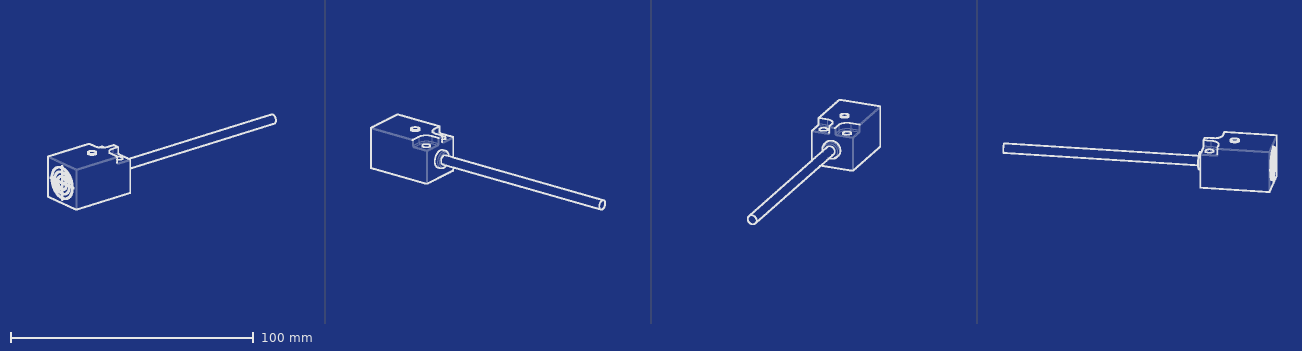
import cadquery as cq

housing_width = 18.6
housing_length = 29.0
housing_height = 18.0
edge_radius = 0.3

screw_hole_diameter = 3.5
screw_hole_x = 5.3
screw_hole_to_rear = 3.3
seat_radius = 3.8
seat_depth = 3.0
seat_floor_radius = 0.6

overall_length = 112.6
cable_diameter = 4.0
cable_z = 8.2
gland_diameter = 7.5
gland_length = 1.9
gland_edge_radius = 0.6

lens_diameter = 3.0
bezel_diameter = 3.6
lamp_to_rear = 13.0
bezel_height = 0.5
lamp_height = 1.0
lamp_recess = 0.6

target_z = 9.0
target_depth = 0.2
ring_outer_diameters = [6.1, 10.0, 13.8]
ring_width = 0.5
cross_length = 15.1
cross_width = 0.5

screw_hole_y = housing_length - screw_hole_to_rear
lamp_y = housing_length - lamp_to_rear
seat_floor_z = housing_height - seat_depth


def make_target():
    """Rings and cross as one inlay, from the front face inwards."""
    plane = cq.Workplane("XZ", origin=(0, 0, target_z))
    target = plane.rect(cross_length, cross_width).extrude(-target_depth)
    target = target.union(plane.rect(cross_width, cross_length).extrude(-target_depth))
    for diameter in ring_outer_diameters:
        ring = plane.circle(diameter / 2).circle(diameter / 2 - ring_width).extrude(-target_depth)
        target = target.union(ring)
    return target


def make_bezel():
    """Flat ring around the lamp lens, set into the top face."""
    plane = cq.Workplane("XY", origin=(0, lamp_y, housing_height - lamp_recess))
    return plane.circle(bezel_diameter / 2).circle(lens_diameter / 2).extrude(lamp_recess + bezel_height)


def make_lens():
    """Round lens inside the bezel: a cylinder capped by a sphere that meets the bezel's upper face."""
    radius = lens_diameter / 2
    dome_height = lamp_height - bezel_height
    dome_radius = (radius**2 + dome_height**2) / (2 * dome_height)
    dome_centre_z = housing_height + lamp_height - dome_radius
    blank = (
        cq.Workplane("XY", origin=(0, lamp_y, housing_height - lamp_recess))
        .circle(radius)
        .extrude(lamp_recess + lamp_height)
    )
    dome = cq.Workplane("XY").sphere(dome_radius).translate((0, lamp_y, dome_centre_z))
    return blank.intersect(dome)


def make_cable():
    """Straight round cable, butted against the rear face of the housing."""
    plane = cq.Workplane("XZ", origin=(0, housing_length, cable_z))
    return plane.circle(cable_diameter / 2).extrude(-(overall_length - housing_length))


def make_gland():
    """Collar around the cable, with a rounded rear edge."""
    plane = cq.Workplane("XZ", origin=(0, housing_length, cable_z))
    gland = plane.circle(gland_diameter / 2).extrude(-gland_length)
    gland = gland.faces(">Y").edges().fillet(gland_edge_radius)
    return gland.cut(make_cable())


def make_seat_cutter(side):
    """Volume removed above one screw seat; side is -1 or +1 along X.

    It runs past the side, the rear and the top of the block, so only its inner corner shapes the part.
    """
    inner_x = screw_hole_x - seat_radius
    front_y = screw_hole_y - seat_radius
    outer_x = housing_width
    rear_y = housing_length + housing_width
    cutter_height = 2 * seat_depth
    cutter = (
        cq.Workplane("XY", origin=(0, 0, seat_floor_z))
        .moveTo(side * inner_x, rear_y)
        .lineTo(side * inner_x, front_y)
        .lineTo(side * outer_x, front_y)
        .lineTo(side * outer_x, rear_y)
        .close()
        .extrude(cutter_height)
    )
    corner = cq.NearestToPointSelector((side * inner_x, front_y, seat_floor_z + cutter_height / 2))
    cutter = cutter.edges("|Z").edges(corner).fillet(seat_radius)
    return cutter.faces("<Z").edges().fillet(seat_floor_radius)


def make_housing():
    """Block with both seats and screw holes; every outer edge above the underside is rounded."""
    housing = cq.Workplane("XY").box(
        housing_width, housing_length, housing_height, centered=(True, False, False)
    )
    for side in (-1, 1):
        housing = housing.cut(make_seat_cutter(side))
    outer_edges = housing.faces("<X or >X or <Y or >Y").edges("not <Z")
    housing = outer_edges.fillet(edge_radius)
    for side in (-1, 1):
        hole = (
            cq.Workplane("XY")
            .center(side * screw_hole_x, screw_hole_y)
            .circle(screw_hole_diameter / 2)
            .extrude(housing_height)
        )
        housing = housing.cut(hole)
    return housing.cut(make_bezel()).cut(make_lens()).cut(make_target())


housing = make_housing()
gland = make_gland()
cable = make_cable()
bezel = make_bezel()
lens = make_lens()
target = make_target()

result = cq.Compound.makeCompound(
    [housing.val(), gland.val(), cable.val(), bezel.val(), lens.val(), *target.vals()]
)